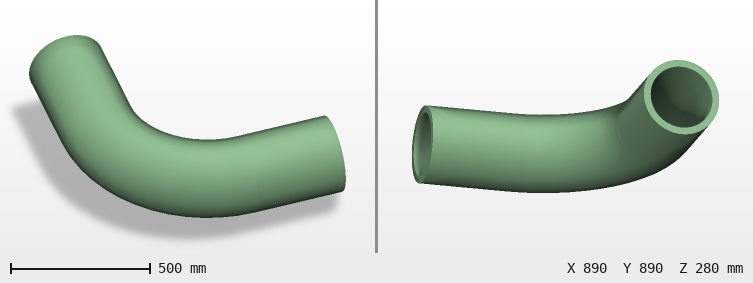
import cadquery as cq
import math

overall_length = 890.0
outer_diameter = 280.0
bore_diameter = 230.0
leg_length = 330.0

outer_radius = outer_diameter / 2
bend_radius = overall_length - leg_length - outer_radius


def centreline():
    """Straight leg along +X, quarter bend, straight leg along +Y."""
    bend_end = (leg_length + bend_radius, bend_radius)
    bend_middle = (
        leg_length + bend_radius * math.sin(math.pi / 4),
        bend_radius * (1 - math.cos(math.pi / 4)),
    )
    return (
        cq.Workplane("XY")
        .lineTo(leg_length, 0)
        .threePointArc(bend_middle, bend_end)
        .lineTo(bend_end[0], bend_end[1] + leg_length)
    )


pipe_section = cq.Workplane("YZ").circle(outer_radius).circle(bore_diameter / 2)
result = pipe_section.sweep(centreline())